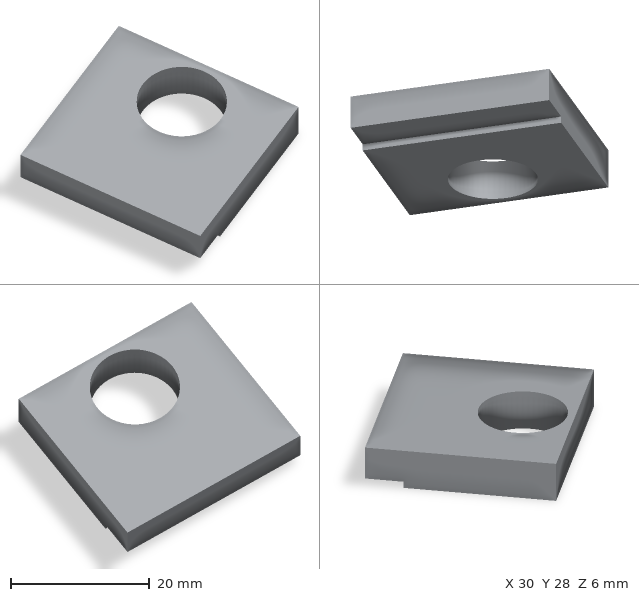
import cadquery as cq

width = 30.0
depth = 28.0
height = 6.0

hole_diameter = 13.0
hole_to_back = 7.65

step_depth = 5.67
step_height = 1.0

plate = cq.Workplane("XY").box(width, depth, height, centered=False)

step = cq.Workplane("XY").box(width, step_depth, step_height, centered=False)

hole = (
    cq.Workplane("XY")
    .center(width / 2, depth - hole_to_back)
    .circle(hole_diameter / 2)
    .extrude(height)
)

result = plate.cut(step).cut(hole)